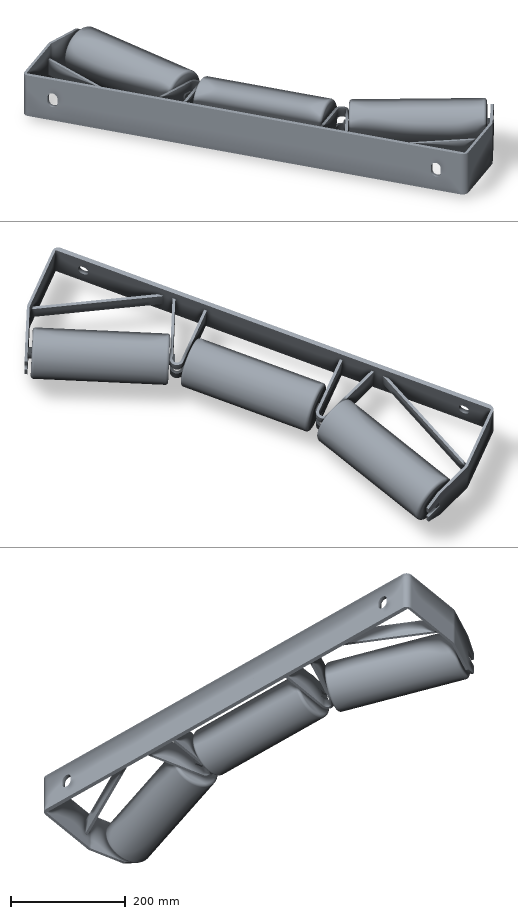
import cadquery as cq
import math

frame_length = 830.0
frame_height = 80.0
base_thickness = 7.5
wall_thickness = 5.0
corner_radius = 11.0
wall_bend_y = 128.0
wall_bend_radius = 15.0
wing_tip_y = 222.5
wing_chamfer_length = 29.0
wing_chamfer_depth = 16.0
base_slot_spacing = 717.0
base_slot_width = 18.0
base_slot_height = 26.5

bracket_height = 50.0
bracket_upright_x = 125.0
bracket_bend_radius = 12.5
bracket_bend_y = 114.5

strut_thickness = 5.0
strut_height = 30.0
strut_wall_y = 119.0
strut_base_x = 207.0

wing_angle = 20.0
roller_tilt = 1.3
roller_radius = 45.0
roller_length = 240.0
roller_edge_fillet = 5.0
axle_radius = 10.0
axle_flats = 15.0
axle_length = 260.0
middle_roller_y = 100.0
middle_roller_z = -5.0
side_roller_x = 267.0
side_roller_y = 150.0
side_roller_z = -2.0

wing_sin = math.sin(math.radians(wing_angle))
wing_cos = math.cos(math.radians(wing_angle))
wing_tan = wing_sin / wing_cos
tilt_sin = math.sin(math.radians(roller_tilt))
tilt_cos = math.cos(math.radians(roller_tilt))
half_length = frame_length / 2
inner_half_length = half_length - wall_thickness

middle_plane = cq.Plane((0, middle_roller_y, middle_roller_z))
axle_direction = cq.Vector(wing_cos * tilt_cos, -wing_sin * tilt_cos, -tilt_sin)
slot_direction = cq.Vector(wing_sin, wing_cos, 0)
left_plane = cq.Plane(
    origin=(-side_roller_x, side_roller_y, side_roller_z),
    xDir=axle_direction,
    normal=axle_direction.cross(slot_direction),
)


def bar(outline, height, middle_z=0):
    """XY outline closed and extruded to a height centred on middle_z."""
    return outline.close().extrude(height).translate((0, 0, middle_z - height / 2))


def rod(radius, length):
    """Cylinder along X, centred on the origin."""
    return cq.Workplane("YZ", origin=(-length / 2, 0, 0)).circle(radius).extrude(length)


def make_axle(plane):
    flats = cq.Workplane().box(axle_length, 2 * axle_radius, axle_flats)
    axle = rod(axle_radius, axle_length).intersect(flats)
    return cq.Workplane(axle.val().moved(plane.location))


def make_roller(plane):
    shell = rod(roller_radius, roller_length).faces("<X or >X").edges().fillet(roller_edge_fillet)
    return cq.Workplane(shell.val().moved(plane.location)).union(make_axle(plane))


def axle_slot(plane):
    """Cutter that seats the axle and leaves an open path for it in local +Y."""
    slot_depth = 2 * roller_radius
    cutter_length = axle_length + 2 * wall_thickness
    path = cq.Workplane(plane).box(cutter_length, slot_depth, axle_flats, centered=(True, False, True))
    return path.union(make_axle(plane))


def tip_chamfers(tip_x, tip_y):
    """Wedges that bevel the top and bottom corners of the left wing."""
    tip_plane = cq.Plane((tip_x, tip_y, 0), xDir=(wing_sin, wing_cos, 0), normal=(wing_cos, -wing_sin, 0))
    corner = (
        cq.Workplane(tip_plane)
        .moveTo(-wing_chamfer_length, frame_height / 2)
        .lineTo(0, frame_height / 2 - wing_chamfer_depth)
        .lineTo(0, frame_height / 2)
        .close()
        .extrude(2 * wall_thickness, both=True)
    )
    return corner.union(corner.mirror("XY"))


def edge_near(x, y):
    """Selector for the upright edge through a point of the outline."""
    return cq.selectors.NearestToPointSelector((x, y, 0))


def make_frame():
    base = cq.Workplane().box(frame_length, base_thickness, frame_height, centered=(True, False, True))
    slots = (
        cq.Workplane("XZ")
        .pushPoints([(-base_slot_spacing / 2, 0), (base_slot_spacing / 2, 0)])
        .slot2D(base_slot_height, base_slot_width, 90)
        .extrude(-base_thickness)
    )

    tip_x = -half_length + (wing_tip_y - wall_bend_y) * wing_tan
    inner_bend_y = wall_bend_y - wall_thickness * math.tan(math.radians(wing_angle / 2))
    side_outline = (
        cq.Workplane()
        .moveTo(-half_length, 0)
        .lineTo(-half_length, wall_bend_y)
        .lineTo(tip_x, wing_tip_y)
        .lineTo(tip_x + wall_thickness * wing_cos, wing_tip_y - wall_thickness * wing_sin)
        .lineTo(-inner_half_length, inner_bend_y)
        .lineTo(-inner_half_length, 0)
    )
    side = bar(side_outline, frame_height)
    side = side.edges(edge_near(-half_length, wall_bend_y)).fillet(wall_bend_radius)
    side = side.edges(edge_near(-inner_half_length, inner_bend_y)).fillet(wall_bend_radius - wall_thickness)
    side = side.cut(tip_chamfers(tip_x, wing_tip_y)).cut(axle_slot(left_plane))

    frame = base.union(side).union(side.mirror("YZ"))
    return frame.edges("|Z and <Y").fillet(corner_radius).cut(slots)


def bracket_outline(radius):
    """Inverted U at the given bend radius, both legs ending on the base."""
    center_x = -bracket_upright_x - bracket_bend_radius
    lean_x = center_x - radius * wing_cos
    lean_y = bracket_bend_y + radius * wing_sin
    return (
        cq.Workplane()
        .moveTo(center_x + radius, base_thickness)
        .lineTo(center_x + radius, bracket_bend_y)
        .threePointArc((center_x, bracket_bend_y + radius), (lean_x, lean_y))
        .lineTo(lean_x - (lean_y - base_thickness) * wing_tan, base_thickness)
    )


def make_bracket():
    outside = bar(bracket_outline(bracket_bend_radius), bracket_height, middle_roller_z)
    inside = bar(bracket_outline(bracket_bend_radius - wall_thickness), bracket_height, middle_roller_z)
    return outside.cut(inside).cut(axle_slot(left_plane)).cut(axle_slot(middle_plane))


def make_strut():
    rise = strut_wall_y - base_thickness
    run = inner_half_length - strut_base_x
    slant = math.hypot(rise, run)
    outline = (
        cq.Workplane()
        .moveTo(-inner_half_length, strut_wall_y)
        .lineTo(-strut_base_x, base_thickness)
        .lineTo(-strut_base_x - strut_thickness * slant / rise, base_thickness)
        .lineTo(-inner_half_length, strut_wall_y - strut_thickness * slant / run)
    )
    return bar(outline, strut_height)


frame = make_frame()
middle_roller = make_roller(middle_plane)
bodies = [frame.solids().val(), middle_roller.solids().val()]
for left_body in (make_roller(left_plane), make_bracket(), make_strut()):
    right_body = left_body.mirror("YZ")
    bodies += [left_body.solids().val(), right_body.solids().val()]

result = cq.Compound.makeCompound(bodies)